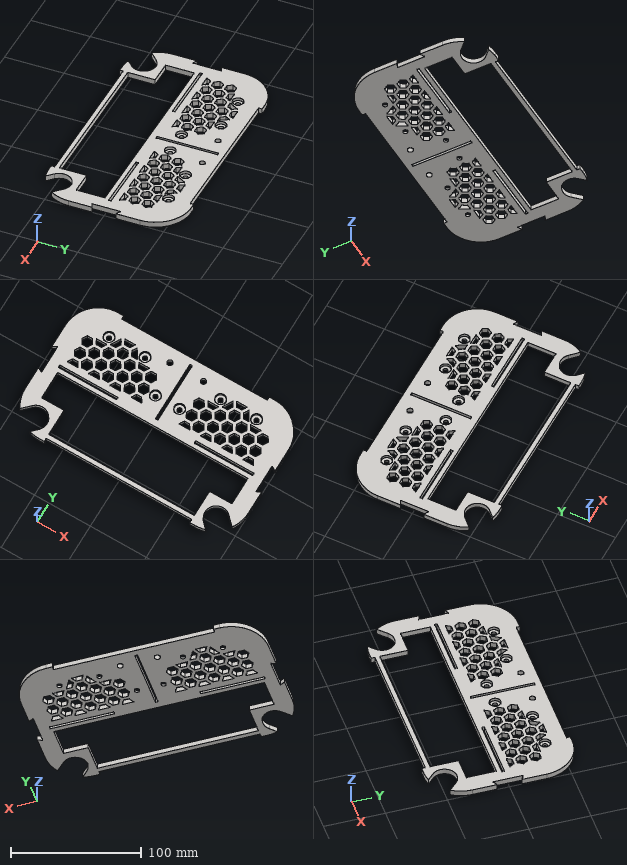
import cadquery as cq
import math

LENGTH = 200.0
WIDTH = 120.0
THICKNESS = 5.0
CORNER_RADIUS = 30.0

EDGE_RECESS_LENGTH = 130.0
EDGE_RECESS_DEPTH = 3.0

NOTCH_DEPTH = 4.0
NOTCH_MOUTH = 20.0
NOTCH_FLOOR = 24.0

WINDOW_TOP = -6.0
WINDOW_STEP = -30.0
WINDOW_BOTTOM = -53.0
WINDOW_WIDE = 170.0
WINDOW_NARROW = EDGE_RECESS_LENGTH

CLIP_X = 80.8
CLIP_Y = -46.5
CLIP_RADIUS = 10.0
CLIP_REACH = 40.0
CLIP_ANGLE = -45

SLOT_WIDTH = 2.0
CENTRE_SLOT_LENGTH = 51.5
CENTRE_SLOT_Y = CENTRE_SLOT_LENGTH / 2
SIDE_SLOT_LENGTH = 52.0
SIDE_SLOT_X = 60.8
SIDE_SLOT_Y = -SLOT_WIDTH / 2

GRILLE_X = LENGTH / 4
HEX_CORNER_STEP = 60
HEX_FLATS = 8.0
HEX_PITCH = 11.0
GRILLE_BASE_Y = HEX_PITCH / 2
COLUMN_PITCH = HEX_PITCH * math.sqrt(3) / 2
HEX_RADIUS = HEX_FLATS / math.sqrt(3)

FULL_CELLS = [
    (0, 0.5), (0, 1.5), (0, 2.5),
    (1, 1), (1, 2),
    (2, 0.5), (2, 1.5),
    (3, 1), (3, 2),
]
HALF_CELLS = [
    (0, 3.5, 270),
    (1, 0, 90),
    (1, 3, 210),
    (2, 2.5, 270),
    (3, 0, 90),
]

SCREW_POINTS = [(10.8, 16.2), (33.8, 39.2), (66.0, 39.2)]
SCREW_DIAMETER = 3.8
COUNTERBORE_DIAMETER = 9.0
COUNTERBORE_DEPTH = 2.5
PLAIN_HOLE_POINT = (15.0, 45.0)
PLAIN_HOLE_DIAMETER = 4.5


def through_box(size_x, size_y, x, y):
    """Box as thick as the plate, centred at (x, y)."""
    return cq.Workplane("XY").center(x, y).rect(size_x, size_y).extrude(THICKNESS)


def through_hole(diameter, x, y):
    return cq.Workplane("XY").center(x, y).circle(diameter / 2).extrude(THICKNESS)


def dovetail_notch():
    """Notch in the +X edge, wider at its floor than at its mouth."""
    mouth_x = LENGTH / 2
    floor_x = mouth_x - NOTCH_DEPTH
    points = [
        (mouth_x, NOTCH_MOUTH / 2),
        (floor_x, NOTCH_FLOOR / 2),
        (floor_x, -NOTCH_FLOOR / 2),
        (mouth_x, -NOTCH_MOUTH / 2),
    ]
    return cq.Workplane("XY").polyline(points).close().extrude(THICKNESS)


def clip_slot():
    """Slot through the lower +X corner, round at its inner end."""
    channel = through_box(CLIP_REACH, 2 * CLIP_RADIUS, CLIP_REACH / 2, 0)
    slot = channel.union(through_hole(2 * CLIP_RADIUS, 0, 0))
    return slot.rotate((0, 0, 0), (0, 0, 1), CLIP_ANGLE).translate((CLIP_X, CLIP_Y, 0))


def cell(column, height, corner_angles):
    """Grille opening through the hexagon corners at the given angles."""
    x = GRILLE_X + column * COLUMN_PITCH
    y = GRILLE_BASE_Y + height * HEX_PITCH
    corners = [
        (x + HEX_RADIUS * math.cos(math.radians(a)), y + HEX_RADIUS * math.sin(math.radians(a)))
        for a in corner_angles
    ]
    return cq.Workplane("XY").polyline(corners).close().extrude(THICKNESS)


def grille_cells():
    """Openings of the grille on the +X side, symmetric about its own centre column."""
    cells = []
    for column, height in FULL_CELLS:
        for side in {column, -column}:
            cells.append(cell(side, height, range(0, 360, HEX_CORNER_STEP)))
    for column, height, direction in HALF_CELLS:
        for side in {column, -column}:
            kept = direction if side >= 0 else 180 - direction
            cells.append(cell(side, height, range(kept - 90, kept + 91, HEX_CORNER_STEP)))
    return cells


def screw_hole(x, y):
    floor = THICKNESS - COUNTERBORE_DEPTH
    bore = cq.Workplane("XY").workplane(offset=floor).center(x, y)
    counterbore = bore.circle(COUNTERBORE_DIAMETER / 2).extrude(COUNTERBORE_DEPTH)
    return through_hole(SCREW_DIAMETER, x, y).union(counterbore)


plate = through_box(LENGTH, WIDTH, 0, 0).edges("|Z").fillet(CORNER_RADIUS)

recess_y = (WIDTH - EDGE_RECESS_DEPTH) / 2
for y in (recess_y, -recess_y):
    plate = plate.cut(through_box(EDGE_RECESS_LENGTH, EDGE_RECESS_DEPTH, 0, y))

wide_height = WINDOW_TOP - WINDOW_STEP
full_height = WINDOW_TOP - WINDOW_BOTTOM
plate = plate.cut(through_box(WINDOW_WIDE, wide_height, 0, WINDOW_TOP - wide_height / 2))
plate = plate.cut(through_box(WINDOW_NARROW, full_height, 0, WINDOW_TOP - full_height / 2))
plate = plate.cut(through_box(SLOT_WIDTH, CENTRE_SLOT_LENGTH, 0, CENTRE_SLOT_Y))

side_cuts = [
    dovetail_notch(),
    clip_slot(),
    through_box(SIDE_SLOT_LENGTH, SLOT_WIDTH, SIDE_SLOT_X, SIDE_SLOT_Y),
    through_hole(PLAIN_HOLE_DIAMETER, *PLAIN_HOLE_POINT),
]
side_cuts += [screw_hole(x, y) for x, y in SCREW_POINTS]
side_cuts += grille_cells()

for tool in side_cuts:
    plate = plate.cut(tool).cut(tool.mirror("YZ"))

result = plate